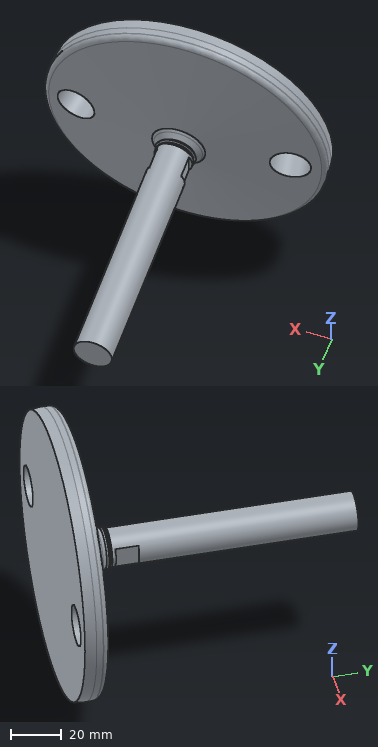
import cadquery as cq
import math


rim_radius = 118.0 / 2
underside_radius = 58.4
rim_height = 4.5
shoulder_radius = 58.9
shoulder_height = 7.2
rim_round = 2.5

cone_top_radius = 11.1
cone_top_height = 17.5
cone_angle = 9.5

flare_radius = 10.1
flare_height = 18.3
waist_radius = 7.9
waist_height = 20.3
lip_radius = 8.5
lip_height = 21.1
collar_top_radius = 7.6
collar_top_height = 21.6

hole_diameter = 16.5
hole_offset = 42.7
hole_cut_length = 48.8

total_length = 122.0
stem_radius = 16.0 / 2
stem_bottom = 22.6
stem_chamfer_width = 0.9
stem_chamfer_height = 0.4
neck_radius = 5.7
socket_floor = 9.8

flat_width = 13.2
flat_bottom = 24.0
flat_top = 33.4


def revolve_about_y(outline):
    return outline.close().revolve(360, (0, 0, 0), (0, 1, 0))


def mounting_hole(side):
    """Cutter for one hole; side is +1 or -1 along X, the far end leans outwards."""
    tilt = math.radians(cone_angle)
    axis = cq.Vector(side * math.sin(tilt), math.cos(tilt), 0)
    centre = cq.Vector(side * hole_offset, 0, 0)
    start = centre - axis * (hole_cut_length / 2)
    return cq.Solid.makeCylinder(hole_diameter / 2, hole_cut_length, start, axis)


def make_base():
    slope = math.tan(math.radians(cone_angle))
    cone_edge_height = cone_top_height - (shoulder_radius - cone_top_radius) * slope
    outline = (
        cq.Workplane("XY")
        .moveTo(0, 0)
        .lineTo(underside_radius, 0)
        .lineTo(rim_radius, rim_height)
        .lineTo(shoulder_radius, shoulder_height)
        .lineTo(shoulder_radius, cone_edge_height)
        .lineTo(cone_top_radius, cone_top_height)
        .lineTo(flare_radius, flare_height)
        .lineTo(waist_radius, waist_height)
        .lineTo(lip_radius, lip_height)
        .lineTo(collar_top_radius, collar_top_height)
        .lineTo(neck_radius, collar_top_height)
        .lineTo(neck_radius, socket_floor)
        .lineTo(0, socket_floor)
    )
    body = revolve_about_y(outline)
    cone_edge = cq.selectors.NearestToPointSelector((0, cone_edge_height, 0))
    body = body.edges("%CIRCLE").edges(cone_edge).fillet(rim_round)
    for side in (-1, 1):
        body = body.cut(cq.Workplane(mounting_hole(side)))
    return body


def make_stem():
    chamfer_radius = stem_radius - stem_chamfer_width
    chamfer_bottom = stem_bottom - stem_chamfer_height
    outline = (
        cq.Workplane("XY")
        .moveTo(0, socket_floor)
        .lineTo(neck_radius, socket_floor)
        .lineTo(neck_radius, chamfer_bottom)
        .lineTo(chamfer_radius, chamfer_bottom)
        .lineTo(stem_radius, stem_bottom)
        .lineTo(stem_radius, total_length)
        .lineTo(0, total_length)
    )
    stem = revolve_about_y(outline)
    for side in (-1, 1):
        cutter = cq.Workplane("XY").box(stem_radius, flat_top - flat_bottom, 2 * stem_radius)
        cutter_x = side * (flat_width + stem_radius) / 2
        stem = stem.cut(cutter.translate((cutter_x, (flat_bottom + flat_top) / 2, 0)))
    return stem


base = make_base()
stem = make_stem()
result = cq.Compound.makeCompound([base.val(), stem.val()])